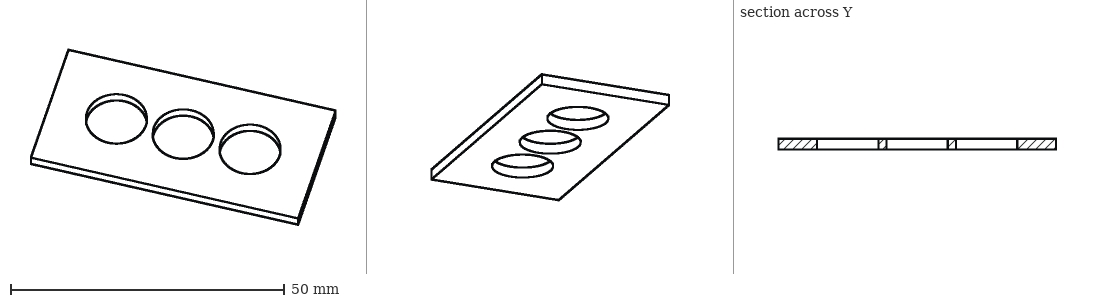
import cadquery as cq

plate_length = 50.8
plate_width = plate_length / 2
plate_thickness = 2.0

hole_count = 3
hole_diameter = 11.2
hole_pitch = plate_length / 4

plate = cq.Workplane("XY").box(plate_length, plate_width, plate_thickness)

result = (
    plate.faces(">Z")
    .workplane()
    .rarray(hole_pitch, plate_width, hole_count, 1)
    .hole(hole_diameter)
)